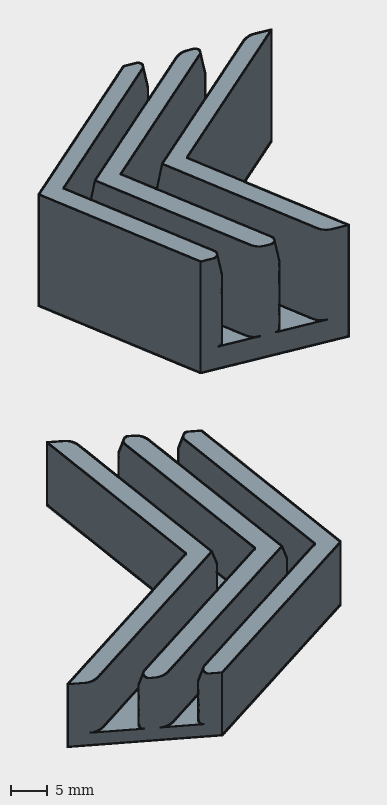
import cadquery as cq

outer_length = 25.0
leg_width = 15.0
height = 25.0

outer_wall = 3.0
middle_wall = 3.6
inner_wall = 3.0
outer_groove_width = 2.2
inner_groove_width = leg_width - outer_wall - middle_wall - inner_wall - outer_groove_width
groove_floor_z = 5.0
flare = 0.5
flare_height = 5.0
flare_start_z = height - flare_height

acute_round_radius = 0.7
obtuse_round_radius = 2.7


def l_outline(near, far, z):
    """L-shaped band between two distances from the outer sides, ending on the 45 degree cuts."""
    return cq.Workplane("XY", origin=(0, 0, z)).polyline([
        (near, near),
        (outer_length + near, near),
        (outer_length + far, far),
        (far, far),
        (far, outer_length + far),
        (near, outer_length + near),
    ]).close()


def round_mouth(body, side, z, radius):
    """Round the end edges of one groove side on both leg ends; side is its place at height z."""
    reach = outer_length + side
    edges = body.newObject([])
    for point in ((reach, side, z), (side, reach, z)):
        edges = edges.add(body.edges(cq.selectors.NearestToPointSelector(point)))
    return edges.fillet(radius)


def grooved_block(near, far, floor_z, floor_spread, top_spread):
    """Block with one groove whose sides are moved outwards by a spread at the floor and at the top."""
    floor = l_outline(near - floor_spread, far + floor_spread, floor_z).wires().val()
    mouth = l_outline(near - top_spread, far + top_spread, height).wires().val()
    groove = cq.Workplane(cq.Solid.makeLoft([floor, mouth], True))
    body = l_outline(0, leg_width, 0).extrude(height).cut(groove)
    middle_z = (floor_z + height) / 2
    middle_spread = (floor_spread + top_spread) / 2
    body = round_mouth(body, near - middle_spread, middle_z, acute_round_radius)
    return round_mouth(body, far + middle_spread, middle_z, obtuse_round_radius)


def flared_groove_block(near, far):
    """Block with a straight groove and, overlapping it, a V-sided groove that forms the flare.

    The V sides cross the straight sides at the start of the flare and end inside the straight groove.
    """
    v_floor_z = flare_start_z - flare_height
    straight = grooved_block(near, far, groove_floor_z, 0, 0)
    v_sided = grooved_block(near, far, v_floor_z, -flare, flare)
    return straight.intersect(v_sided)


outer_groove_near = outer_wall
outer_groove_far = outer_groove_near + outer_groove_width
inner_groove_near = outer_groove_far + middle_wall
inner_groove_far = inner_groove_near + inner_groove_width

outer_grooved = flared_groove_block(outer_groove_near, outer_groove_far)
inner_grooved = flared_groove_block(inner_groove_near, inner_groove_far)
result = outer_grooved.intersect(inner_grooved)